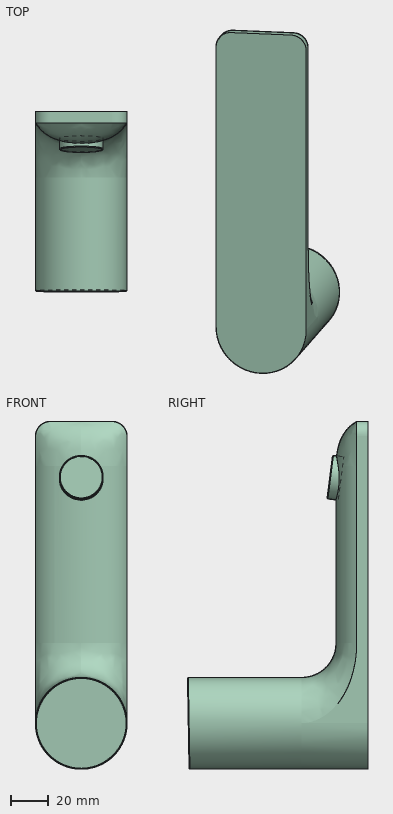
import cadquery as cq
import math

width = 48.5
half_width = width / 2
height = 183.75
spout_radius = half_width
spout_axis_z = spout_radius

plate_depth = 6.0
plate_corner_radius = 8.0

bar_depth = 17.0
bar_top_z = 160.0
front_radius = 40.0
front_half_width = 14.0

elbow_radius = 18.0
bar_bottom_z = 2 * spout_radius + elbow_radius
elbow_depth = bar_depth + elbow_radius
elbow_side_rise = bar_bottom_z - spout_axis_z
elbow_side_run = elbow_depth - plate_depth

spout_length = 95.0
spout_end_tilt = 1.0
spout_edge_chamfer = 0.5

dome_end_slope = 30.0

patch_shares = [0.2, 0.4, 0.6, 0.8]

knob_radius = 11.6
knob_edge_chamfer = 0.5
knob_thickness = 6.0
knob_tilt = 7.3
knob_face_depth = 20.25
knob_center_z = 154.3


def point(x, depth, z):
    """Point given by its distance in front of the back face."""
    return cq.Vector(x, -depth, z)


def cross_line(depth, z):
    """Straight edge across the full width."""
    return cq.Edge.makeLine(point(-half_width, depth, z), point(half_width, depth, z))


def half_bar_front(z):
    """Edges of the +X half of the bar front at height z, from the middle to the side."""
    join_angle = math.asin(front_half_width / front_radius)
    mid_angle = join_angle / 2
    center_depth = bar_depth - front_radius
    join_depth = center_depth + front_radius * math.cos(join_angle)
    middle = point(0, bar_depth, z)
    join = point(front_half_width, join_depth, z)
    between = point(
        front_radius * math.sin(mid_angle), center_depth + front_radius * math.cos(mid_angle), z
    )
    side = point(half_width, plate_depth, z)
    tangent = cq.Vector(math.cos(join_angle), math.sin(join_angle), 0)
    return [
        cq.Edge.makeThreePointArc(middle, between, join),
        cq.Edge.makeTangentArc(join, tangent, side),
    ]


def front_bulge(across):
    """Share of its full bulge that the bar front reaches at a share of the half width."""
    x = across * half_width
    join_angle = math.asin(front_half_width / front_radius)
    if x <= front_half_width:
        depth = bar_depth - front_radius + math.sqrt(front_radius**2 - x**2)
    else:
        join_depth = bar_depth - front_radius + front_radius * math.cos(join_angle)
        reach_x = half_width - front_half_width
        reach_depth = join_depth - plate_depth
        side_radius = (reach_x**2 + reach_depth**2) / (
            2 * (reach_depth * math.cos(join_angle) - reach_x * math.sin(join_angle))
        )
        center_x = front_half_width - side_radius * math.sin(join_angle)
        center_depth = join_depth - side_radius * math.cos(join_angle)
        depth = center_depth + math.sqrt(side_radius**2 - (x - center_x) ** 2)
    return (depth - plate_depth) / (bar_depth - plate_depth)


def mirrored(edges):
    """Copies of the edges on the -X side."""
    return [edge.mirror("YZ") for edge in edges]


def planar_face(edges):
    """Flat face bounded by a closed loop of edges."""
    return cq.Face.makeFromWires(cq.Wire.assembleEdges(edges))


def closed_solid(faces):
    """Solid enclosed by faces that share their edges."""
    return cq.Workplane(cq.Solid.makeSolid(cq.Shell.makeShell(faces)))


def make_plate():
    """Flat back plate with rounded upper corners, above the half round foot."""
    return (
        cq.Workplane("XZ")
        .moveTo(-half_width, spout_axis_z)
        .lineTo(half_width, spout_axis_z)
        .lineTo(half_width, height)
        .lineTo(-half_width, height)
        .close()
        .extrude(plate_depth)
        .edges("|Y and >Z")
        .fillet(plate_corner_radius)
    )


def make_bar():
    """Straight upright bar in front of the plate."""
    front = half_bar_front(bar_bottom_z)
    back = cross_line(plate_depth, bar_bottom_z)
    section = planar_face(front + mirrored(front) + [back])
    rise = cq.Vector(0, 0, bar_top_z - bar_bottom_z)
    return cq.Workplane(cq.Solid.extrudeLinear(section, rise)).clean()


def make_dome():
    """Rounded cap that carries the bar front up to the top edge of the plate."""
    end_angle = math.radians(dome_end_slope)
    crown = cq.Edge.makeSpline(
        [point(0, bar_depth, bar_top_z), point(0, plate_depth, height)],
        tangents=[cq.Vector(0, 0, 1), point(0, -math.cos(end_angle), math.sin(end_angle))],
    )
    corner_x = half_width - plate_corner_radius
    corner_z = height - plate_corner_radius
    corner_reach = plate_corner_radius * math.sqrt(0.5)
    outline = [
        cq.Edge.makeLine(
            point(half_width, plate_depth, bar_top_z), point(half_width, plate_depth, corner_z)
        ),
        cq.Edge.makeThreePointArc(
            point(half_width, plate_depth, corner_z),
            point(corner_x + corner_reach, plate_depth, corner_z + corner_reach),
            point(corner_x, plate_depth, height),
        ),
        cq.Edge.makeLine(point(corner_x, plate_depth, height), point(0, plate_depth, height)),
    ]
    front = half_bar_front(bar_top_z)
    inner_points = []
    for along in patch_shares:
        crown_point = crown.positionAt(along)
        corner_rise = max(0, crown_point.z - corner_z)
        section_half_width = corner_x + math.sqrt(plate_corner_radius**2 - corner_rise**2)
        for across in patch_shares:
            depth = plate_depth + (-crown_point.y - plate_depth) * front_bulge(across)
            inner_points.append(point(across * section_half_width, depth, crown_point.z))
    skin = cq.Face.makeNSidedSurface(front + outline + [crown], inner_points)
    back = cross_line(plate_depth, bar_top_z)
    bottom_face = planar_face(front + mirrored(front) + [back])
    back_face = planar_face(outline + mirrored(outline) + [back])
    return closed_solid([skin, skin.mirror("YZ"), bottom_face, back_face])


def elbow_side_curve(x):
    """Quarter ellipse on a side wall, drawn about its center from the spout up to the bar."""
    return (
        cq.Workplane("YZ", origin=(x, -elbow_depth, bar_bottom_z))
        .ellipseArc(elbow_side_run, elbow_side_rise, 270, 360, startAtCurrent=False)
    )


def make_elbow():
    """Bend whose section turns from the bar front into the upper half of the spout."""
    bend_reach = elbow_radius * math.sqrt(0.5)
    crown = cq.Edge.makeThreePointArc(
        point(0, bar_depth, bar_bottom_z),
        point(0, elbow_depth - bend_reach, bar_bottom_z - bend_reach),
        point(0, elbow_depth, 2 * spout_radius),
    )
    side = elbow_side_curve(half_width).val()
    spout_reach = spout_radius * math.sqrt(0.5)
    spout_top = cq.Edge.makeThreePointArc(
        point(0, elbow_depth, 2 * spout_radius),
        point(spout_reach, elbow_depth, spout_axis_z + spout_reach),
        point(half_width, elbow_depth, spout_axis_z),
    )
    front = half_bar_front(bar_bottom_z)
    inner_points = []
    for along in patch_shares:
        turn = along * math.pi / 2
        spout_share = math.sin(turn) ** 2
        crown_depth = elbow_depth - elbow_radius * math.cos(turn)
        crown_z = bar_bottom_z - elbow_radius * math.sin(turn)
        side_depth = elbow_depth - elbow_side_run * math.cos(turn)
        side_z = bar_bottom_z - elbow_side_rise * math.sin(turn)
        for across in patch_shares:
            round_bulge = math.sqrt(1 - across**2)
            bulge = (1 - spout_share) * front_bulge(across) + spout_share * round_bulge
            depth = side_depth + (crown_depth - side_depth) * bulge
            z = side_z + (crown_z - side_z) * bulge
            inner_points.append(point(across * half_width, depth, z))
    skin = cq.Face.makeNSidedSurface(front + [side, spout_top, crown], inner_points)
    back = cross_line(plate_depth, bar_bottom_z)
    chord = cross_line(elbow_depth, spout_axis_z)
    top_face = planar_face(front + mirrored(front) + [back])
    spout_face = planar_face([spout_top] + mirrored([spout_top]) + [chord])
    under_face = cq.Face.makeRuledSurface(side.mirror("YZ"), side)
    return closed_solid([skin, skin.mirror("YZ"), top_face, spout_face, under_face])


def make_elbow_root():
    """Flat-sided web under the elbow, between the plate and the spout."""
    return (
        elbow_side_curve(-half_width)
        .lineTo(elbow_side_run, -elbow_side_rise)
        .close()
        .extrude(width)
    )


def make_foot():
    """Half round lower end that continues the spout to the back."""
    return (
        cq.Workplane("XZ")
        .moveTo(-half_width, spout_axis_z)
        .threePointArc((0, 0), (half_width, spout_axis_z))
        .close()
        .extrude(elbow_depth)
    )


def make_spout():
    """Round spout along Y with its end face leaning slightly and its rim broken."""
    blank = (
        cq.Workplane("XZ", origin=(0, -elbow_depth, spout_axis_z))
        .circle(spout_radius)
        .extrude(spout_length)
    )
    cutter = (
        cq.Workplane("XY")
        .box(2 * width, width, 2 * width, centered=(True, False, True))
        .translate((0, -width, 0))
        .rotate((0, 0, 0), (1, 0, 0), spout_end_tilt)
        .translate((0, -spout_length, spout_axis_z))
    )
    return blank.cut(cutter).faces("<Y").chamfer(spout_edge_chamfer)


def make_knob():
    """Flat round knob that leans upward and sits in a recess of the bar."""
    return (
        cq.Workplane("XZ")
        .circle(knob_radius)
        .extrude(-knob_thickness)
        .faces("<Y")
        .chamfer(knob_edge_chamfer)
        .rotate((0, 0, 0), (1, 0, 0), -knob_tilt)
        .translate((0, -knob_face_depth, knob_center_z))
    )


knob = make_knob()

housing = make_plate().union(make_elbow_root()).union(make_foot()).clean()
for section in (make_bar(), make_dome(), make_elbow(), make_spout()):
    housing = housing.union(section, clean=False)
housing = housing.cut(knob, clean=False)
result = cq.Compound.makeCompound([housing.val(), knob.val()])